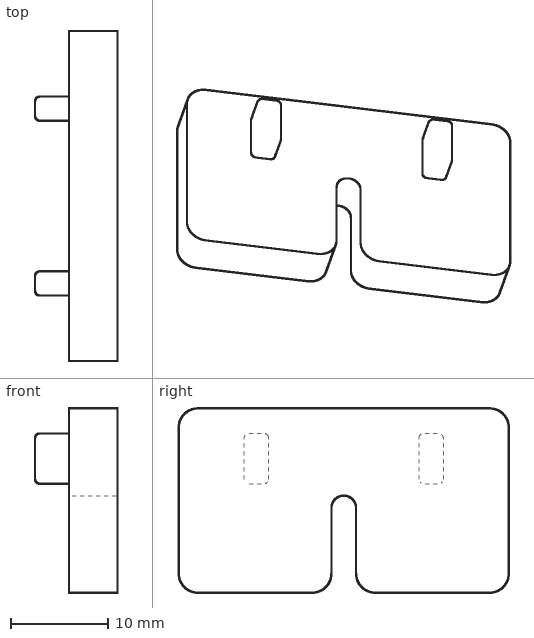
import cadquery as cq

overall_depth = 8.5
length = 34.0
height = 19.0
thickness = 5.0
corner_radius = 2.0

slot_width = 2.5
slot_depth = 10.0

peg_reach = overall_depth - thickness
peg_width = 2.5
peg_height = 5.2
peg_spacing = 18.0
peg_top_gap = 2.6
peg_rounding = 0.5


def make_slot_cutter():
    """Straight-sided slot rising from the bottom edge to a semicircular end."""
    radius = slot_width / 2
    return (
        cq.Workplane("YZ")
        .moveTo(-radius, 0)
        .lineTo(-radius, slot_depth - radius)
        .threePointArc((0, slot_depth), (radius, slot_depth - radius))
        .lineTo(radius, 0)
        .close()
        .extrude(thickness)
    )


def make_plate():
    """Slotted plate; its outer corners and the two corners of the slot mouth are rounded."""
    plate = cq.Workplane("XY").box(thickness, length, height, centered=(False, True, False))
    return plate.cut(make_slot_cutter()).edges("|X and (>Z or <Z)").fillet(corner_radius)


def make_peg(y):
    """Peg reaching out to -X, rounded along its sides and around its free end."""
    peg = (
        cq.Workplane("XY")
        .box(peg_reach, peg_width, peg_height, centered=(False, True, False))
        .edges("|X or <X")
        .fillet(peg_rounding)
    )
    return peg.translate((-peg_reach, y, height - peg_top_gap - peg_height))


result = make_plate()
for side in (-1, 1):
    result = result.union(make_peg(side * peg_spacing / 2))